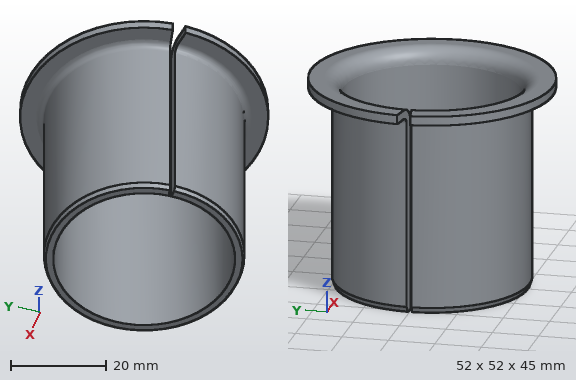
import cadquery as cq

flange_radius = 26.0
height = 45.0
bore_radius = 19.0
wall = 2.0
outer_bend = 1.5
inner_bend = outer_bend + wall
chamfer_height = 1.2
chamfer_width = 0.4

slit_width = 0.4
wedge_mouth = 2.8

tube_radius = bore_radius + wall
flange_bottom = height - wall
bend_z = height - inner_bend
bend_center_radius = bore_radius + inner_bend
overshoot = 0.5


def bushing_body():
    """Revolve the wall section: straight tube, rounded bend, flat flange."""
    section = (
        cq.Workplane("XZ")
        .moveTo(bore_radius, 0)
        .lineTo(tube_radius - chamfer_width, 0)
        .lineTo(tube_radius, chamfer_height)
        .lineTo(tube_radius, bend_z)
        .radiusArc((bend_center_radius, flange_bottom), outer_bend)
        .lineTo(flange_radius, flange_bottom)
        .lineTo(flange_radius, height)
        .lineTo(bend_center_radius, height)
        .radiusArc((bore_radius, bend_z), -inner_bend)
        .close()
    )
    ring = section.revolve(360, (0, 0, 0), (0, 1, 0))
    return ring.rotate((0, 0, 0), (0, 0, 1), 180)


def slit():
    """Wedge-shaped cutter that widens outward from the bore."""
    half_slit = slit_width / 2
    half_mouth = wedge_mouth / 2
    return (
        cq.Workplane("XY")
        .polyline([
            (-bore_radius, half_slit),
            (-flange_radius, half_mouth),
            (-flange_radius - overshoot, half_mouth),
            (-flange_radius - overshoot, -half_mouth),
            (-flange_radius, -half_mouth),
            (-bore_radius, -half_slit),
        ])
        .close()
        .extrude(height)
    )


result = bushing_body().cut(slit())